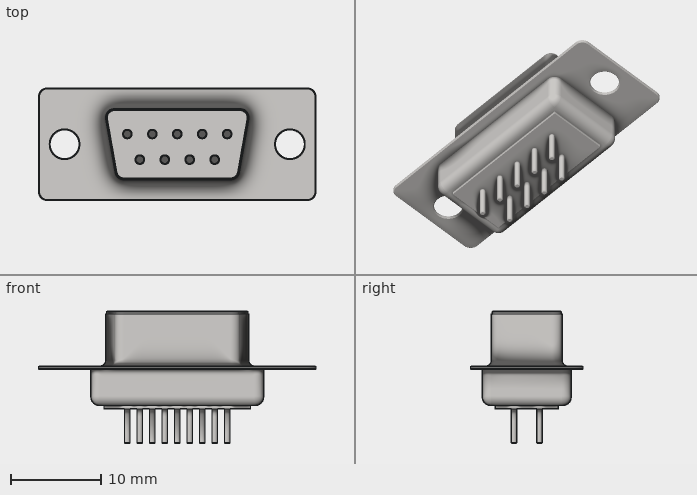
import cadquery as cq
import math

FLANGE_LENGTH = 30.8
FLANGE_WIDTH = 12.5
FLANGE_THICKNESS = 0.4
FLANGE_CORNER_RADIUS = 1.0
FLANGE_EDGE_CHAMFER = 0.1
MOUNT_HOLE_DIAMETER = 3.2
MOUNT_HOLE_SPACING = 25.0

PLUG_WIDE_SIDE = 16.3
PLUG_DEPTH = 7.9
PLUG_HEIGHT = 6.1
PLUG_SIDE_ANGLE = 10.0
PLUG_CORNER_RADIUS = 1.0
PLUG_LIP_HEIGHT = 0.35
PLUG_LIP_INSET = 0.1
PLUG_LIP_CHAMFER = 0.1
PLUG_BASE_FILLET = 0.6

HOUSING_LENGTH = 19.2
HOUSING_WIDTH = 9.9
HOUSING_HEIGHT = 4.0
HOUSING_FILLET = 1.0

PAD_LENGTH = 16.3
PAD_WIDTH = 7.0
PAD_THICKNESS = 0.35

CONTACT_PITCH = 2.77
ROW_SPACING = 2.84
ROW_COUNTS = (5, 4)
PIN_DIAMETER = 0.64
PIN_LENGTH = 3.85
PIN_TIP_CHAMFER = 0.1
PIN_ROWS_CENTRE_Y = 0.0
SOCKET_DIAMETER = 0.85
SOCKET_DEPTH = 5.0
SOCKET_CHAMFER = 0.1
SOCKET_MOUTH_ANGLE = 90.0
SOCKET_ROWS_CENTRE_Y = -0.29

FLANGE_BOTTOM_Z = -FLANGE_THICKNESS
HOUSING_BOTTOM_Z = FLANGE_BOTTOM_Z - HOUSING_HEIGHT
PAD_BOTTOM_Z = HOUSING_BOTTOM_Z - PAD_THICKNESS


def contact_points(rows_centre_y):
    """Staggered contact positions, both rows centred on X = 0."""
    points = []
    for row, count in enumerate(ROW_COUNTS):
        y = rows_centre_y + ROW_SPACING * (0.5 - row)
        for column in range(count):
            x = CONTACT_PITCH * (column - (count - 1) / 2)
            points.append((x, y))
    return points


def make_flange():
    """Thin plate with rounded corners, two mounting holes and broken edges."""
    plate = (
        cq.Workplane("XY", origin=(0, 0, FLANGE_BOTTOM_Z))
        .rect(FLANGE_LENGTH, FLANGE_WIDTH)
        .extrude(FLANGE_THICKNESS)
        .edges("|Z")
        .fillet(FLANGE_CORNER_RADIUS)
    )
    hole_x = MOUNT_HOLE_SPACING / 2
    plate = (
        plate.faces(">Z")
        .workplane(origin=(0, 0, 0))
        .pushPoints([(-hole_x, 0), (hole_x, 0)])
        .hole(MOUNT_HOLE_DIAMETER)
    )
    return plate.faces("<Z or >Z").edges().chamfer(FLANGE_EDGE_CHAMFER)


def make_plug():
    """D-shaped shell block, narrower toward -Y, topped by a slightly inset lip."""
    half_wide = PLUG_WIDE_SIDE / 2
    half_narrow = half_wide - PLUG_DEPTH * math.tan(math.radians(PLUG_SIDE_ANGLE))
    half_depth = PLUG_DEPTH / 2
    shell = (
        cq.Workplane("XY", origin=(0, 0, FLANGE_BOTTOM_Z))
        .polyline([
            (-half_wide, half_depth),
            (half_wide, half_depth),
            (half_narrow, -half_depth),
            (-half_narrow, -half_depth),
        ])
        .close()
        .extrude(FLANGE_THICKNESS + PLUG_HEIGHT - PLUG_LIP_HEIGHT)
        .edges("|Z")
        .fillet(PLUG_CORNER_RADIUS)
    )
    stepped = (
        shell.faces(">Z")
        .wires()
        .toPending()
        .offset2D(-PLUG_LIP_INSET)
        .extrude(PLUG_LIP_HEIGHT)
    )
    return stepped.faces(">Z").edges().chamfer(PLUG_LIP_CHAMFER)


def fillet_plug_base(body):
    """Blend the foot of the plug into the top face of the flange."""
    reach_x = PLUG_WIDE_SIDE / 2
    reach_y = PLUG_DEPTH / 2 + PLUG_BASE_FILLET
    reach_z = FLANGE_EDGE_CHAMFER / 2
    foot_box = cq.selectors.BoxSelector(
        (-reach_x, -reach_y, -reach_z),
        (reach_x, reach_y, reach_z),
    )
    return body.edges(foot_box).fillet(PLUG_BASE_FILLET)


def make_housing():
    """Rectangular rear housing with rounded corners and a rounded lower edge."""
    return (
        cq.Workplane("XY", origin=(0, 0, HOUSING_BOTTOM_Z))
        .rect(HOUSING_LENGTH, HOUSING_WIDTH)
        .extrude(HOUSING_HEIGHT)
        .edges("|Z or <Z")
        .fillet(HOUSING_FILLET)
    )


def make_pad():
    """Plain rectangular insulator pad on the underside of the housing."""
    return (
        cq.Workplane("XY", origin=(0, 0, PAD_BOTTOM_Z))
        .rect(PAD_LENGTH, PAD_WIDTH)
        .extrude(PAD_THICKNESS)
    )


def make_pins():
    """Round solder pins with chamfered tips, hanging below the pad."""
    return (
        cq.Workplane("XY", origin=(0, 0, PAD_BOTTOM_Z))
        .pushPoints(contact_points(PIN_ROWS_CENTRE_Y))
        .circle(PIN_DIAMETER / 2)
        .extrude(-PIN_LENGTH)
        .faces("<Z")
        .edges()
        .chamfer(PIN_TIP_CHAMFER)
    )


def cut_sockets(body):
    """Blind contact holes in the plug's top face, with chamfered mouths."""
    mouth_diameter = SOCKET_DIAMETER + 2 * SOCKET_CHAMFER
    return (
        body.faces(">Z")
        .workplane(origin=(0, 0, PLUG_HEIGHT))
        .pushPoints(contact_points(SOCKET_ROWS_CENTRE_Y))
        .cskHole(SOCKET_DIAMETER, mouth_diameter, SOCKET_MOUTH_ANGLE, SOCKET_DEPTH)
    )


body = fillet_plug_base(make_flange().union(make_plug()))
body = body.union(make_housing()).union(make_pad()).union(make_pins())
result = cut_sockets(body)